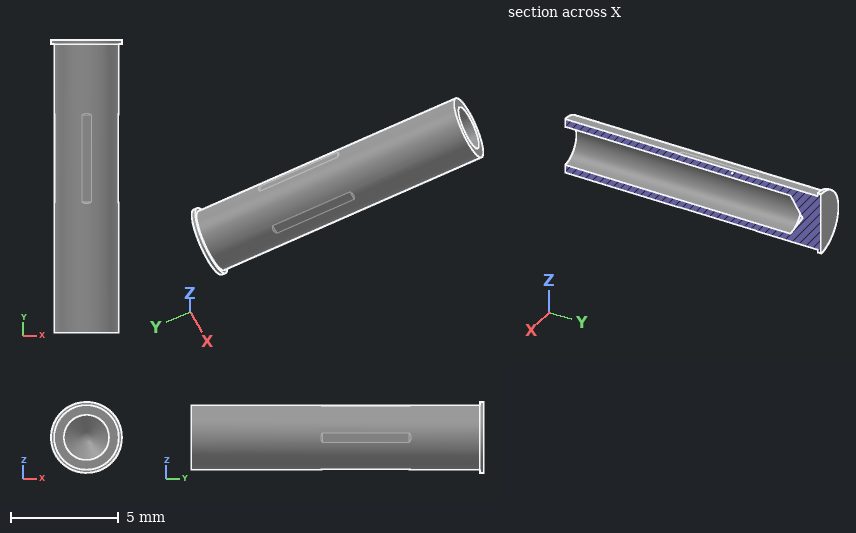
import cadquery as cq
import math

length = 13.6
body_diameter = 3.0
collar_diameter = 3.3
collar_thickness = 0.19
bore_diameter = 2.1
bore_depth = 11.97
drill_point_angle = 118.0

flat_width = 0.45
flat_length = 4.03
flat_ramp_length = 0.08
flat_center_from_collar = 5.5
flat_count = 4

body_radius = body_diameter / 2
bore_radius = bore_diameter / 2
y_open = -length / 2
y_collar = length / 2
flat_height = math.sqrt(body_radius**2 - (flat_width / 2) ** 2)
flat_depth = body_radius - flat_height


def rod(diameter, height, y_start):
    """Solid cylinder along +Y, starting at y_start."""
    return cq.Workplane("XZ", origin=(0, y_start, 0)).circle(diameter / 2).extrude(-height)


def blind_bore():
    """Drilled hole from the open end, finished with a conical drill point."""
    point_depth = bore_radius / math.tan(math.radians(drill_point_angle / 2))
    y_shoulder = y_open + bore_depth
    half_profile = [
        (0, y_open),
        (bore_radius, y_open),
        (bore_radius, y_shoulder),
        (0, y_shoulder + point_depth),
    ]
    return cq.Workplane("XY").polyline(half_profile).close().revolve(360, (0, 0), (0, 1))


def flat_cutter():
    """Ramp-ended block for one flat on the +Z side, wider than the flat so it clears both edges."""
    y_mid = y_collar - flat_center_from_collar
    half_level = flat_length / 2
    half_top = half_level + flat_ramp_length
    side_profile = [
        (y_mid - half_level, flat_height),
        (y_mid + half_level, flat_height),
        (y_mid + half_top, flat_height + flat_depth),
        (y_mid - half_top, flat_height + flat_depth),
    ]
    return cq.Workplane("YZ").polyline(side_profile).close().extrude(flat_width, both=True)


result = rod(body_diameter, length, y_open)
result = result.union(rod(collar_diameter, collar_thickness, y_collar - collar_thickness))
result = result.cut(blind_bore())
for index in range(flat_count):
    angle = index * 360 / flat_count
    result = result.cut(flat_cutter().rotate((0, 0, 0), (0, 1, 0), angle))